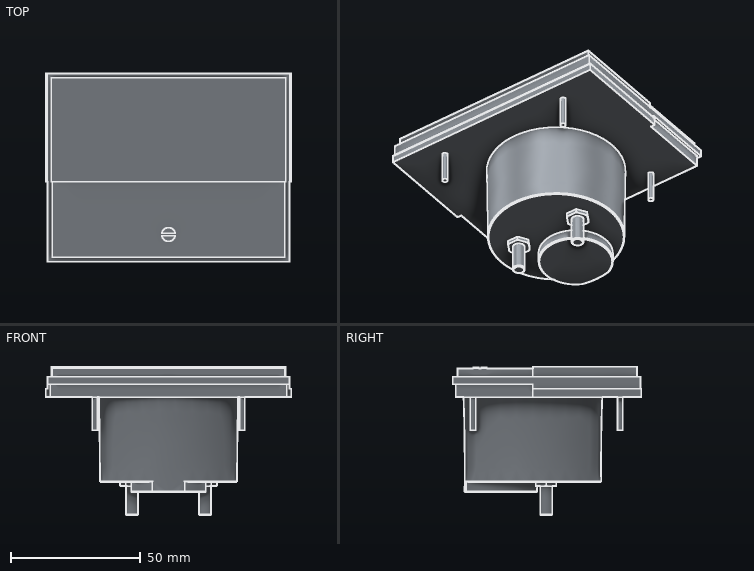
import cadquery as cq
import math


SKIRT_TOP = 3.2
RIM_UNDERSIDE = 4.95
RIM_TOP = 7.9
COVER_TOP = 11.1
WINDOW_TOP = 11.8

SKIRT_WIDTH, SKIRT_REACH = 95.2, 42.1
RIM_WIDTH, RIM_REAR, RIM_FRONT = 93.9, 41.8, 31.1
BASE_WIDTH, BASE_REACH = 91.6, 30.0
WINDOW_WIDTH, WINDOW_REACH = 91.0, 40.4
COVER_WIDTH, COVER_REACH = 90.25, 29.2

SCREW_RADIUS = 2.7
SCREW_Y = -20.5
SCREW_HEIGHT = 0.4
SLOT_WIDTH = 0.9

BARREL_LENGTH = 32.9
BARREL_TOP_RADIUS = 26.9
BARREL_END_RADIUS = 26.6
BOSS_HEIGHT = 4.0
BOSS_RADIUS = 14.5
BOSS_Y = -12.8
END_CHAMFER = 0.4

STUD_X, STUD_Y = 14.2, 5.1
STUD_RADIUS = 2.4
STUD_END = -45.9
NUT_ACROSS_FLATS = 8.0
NUT_HEIGHT = 1.6
NUT_CHAMFER = 0.3

PIN_SPACING = 57.0
PIN_PATTERN_Y = 5.3
PIN_RADIUS = 1.0
PIN_LENGTH = 12.9


def slab(width, y_min, y_max, z_min, z_max):
    """Rectangular slab centred on X = 0."""
    size = (width, y_max - y_min, z_max - z_min)
    return cq.Workplane("XY").box(*size, centered=(True, False, False)).translate((0, y_min, z_min))


def rod(radius, x, y, z_min, z_max):
    """Vertical cylinder."""
    return cq.Workplane("XY", origin=(x, y, z_min)).circle(radius).extrude(z_max - z_min)


def make_bezel():
    rear_half = (
        slab(SKIRT_WIDTH, 0, SKIRT_REACH, 0, SKIRT_TOP)
        .union(slab(RIM_WIDTH, 0, RIM_REAR, SKIRT_TOP, RIM_TOP))
        .union(slab(WINDOW_WIDTH, 0, WINDOW_REACH, RIM_TOP, WINDOW_TOP))
    )
    front_half = (
        slab(BASE_WIDTH, -BASE_REACH, 0, 0, RIM_UNDERSIDE)
        .union(slab(RIM_WIDTH, -RIM_FRONT, 0, RIM_UNDERSIDE, RIM_TOP))
        .union(slab(COVER_WIDTH, -COVER_REACH, 0, RIM_TOP, COVER_TOP))
    )
    return rear_half.union(front_half)


def make_screw():
    """Screw head; its slot runs along X and is as deep as the head is proud."""
    head_top = COVER_TOP + SCREW_HEIGHT
    head = rod(SCREW_RADIUS, 0, SCREW_Y, COVER_TOP, head_top)
    slot = slab(
        2 * SCREW_RADIUS, SCREW_Y - SLOT_WIDTH / 2, SCREW_Y + SLOT_WIDTH / 2, COVER_TOP, head_top
    )
    return head.cut(slot)


def tapered_barrel(length):
    """Barrel with its taper carried on to the given length and a chamfered end."""
    slope = (BARREL_TOP_RADIUS - BARREL_END_RADIUS) / BARREL_LENGTH
    end_radius = BARREL_TOP_RADIUS - slope * length
    profile = [
        (0, 0),
        (BARREL_TOP_RADIUS, 0),
        (end_radius + slope * END_CHAMFER, END_CHAMFER - length),
        (end_radius - END_CHAMFER, -length),
        (0, -length),
    ]
    return cq.Workplane("XZ").polyline(profile).close().revolve(360, (0, 0), (0, 1))


def make_barrel():
    """Barrel plus an offset round boss, trimmed where it would pass the barrel wall."""
    full_length = BARREL_LENGTH + BOSS_HEIGHT
    boss = rod(BOSS_RADIUS, 0, BOSS_Y, -full_length, 0).faces("<Z").chamfer(END_CHAMFER)
    return tapered_barrel(BARREL_LENGTH).union(boss.intersect(tapered_barrel(full_length)))


def make_terminal(x):
    """Stud with a hexagonal nut whose corners point along X."""
    nut_end = -BARREL_LENGTH - NUT_HEIGHT
    nut_diameter = NUT_ACROSS_FLATS / math.cos(math.pi / 6)
    nut = cq.Workplane("XY", origin=(x, STUD_Y, nut_end)).polygon(6, nut_diameter).extrude(NUT_HEIGHT)
    corner_trim = rod(nut_diameter / 2, x, STUD_Y, nut_end, -BARREL_LENGTH).faces("<Z").chamfer(NUT_CHAMFER)
    stud = rod(STUD_RADIUS, x, STUD_Y, STUD_END, -BARREL_LENGTH).faces("<Z").chamfer(END_CHAMFER)
    return stud.union(nut.intersect(corner_trim))


def make_pins():
    return (
        cq.Workplane("XY", origin=(0, PIN_PATTERN_Y, 0))
        .rect(PIN_SPACING, PIN_SPACING, forConstruction=True)
        .vertices()
        .circle(PIN_RADIUS)
        .extrude(-PIN_LENGTH)
    )


result = make_bezel().union(make_screw()).union(make_barrel()).union(make_pins())
for side in (-1, 1):
    result = result.union(make_terminal(side * STUD_X))